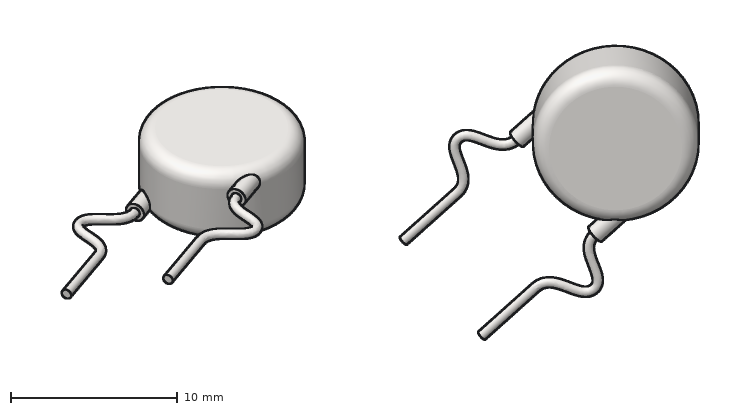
import cadquery as cq

disc_diameter = 10.0
disc_height = 5.0
rim_fillet = 1.0
disc_radius = disc_diameter / 2

sleeve_diameter = 1.2
lead_offset_x = 3.4
lead_offset_z = 1.58
sleeve_end_y = -disc_radius
sleeve_root_y = -2.34

wire_diameter = 0.65
overall_width = 12.45
overall_length = 19.5
lead_root_y = -2.92
kink_height = disc_radius / 2
kink_root_pull = 1.6
kink_apex_pull = 1.17
kink_reach = overall_width / 2 - wire_diameter / 2 - lead_offset_x
kink_apex_y = sleeve_end_y - kink_height
kink_end_y = kink_apex_y - kink_height
lead_tip_y = disc_radius - overall_length


def rod_along_y(diameter, side, start_y, end_y):
    """Straight rod on the axis of the lead on the given side, from start_y toward -Y."""
    return (
        cq.Workplane("XZ", origin=(side * lead_offset_x, start_y, side * lead_offset_z))
        .circle(diameter / 2)
        .extrude(start_y - end_y)
    )


def make_lead(side):
    """Wire with one outward kink; side is +1 for the upper +X lead, -1 for the lower -X lead."""
    inner_x = side * lead_offset_x
    outer_x = side * (lead_offset_x + kink_reach)
    path = (
        cq.Workplane("XY", origin=(0, 0, side * lead_offset_z))
        .moveTo(inner_x, lead_root_y)
        .lineTo(inner_x, sleeve_end_y)
        .bezier(
            [
                (inner_x, sleeve_end_y),
                (inner_x, sleeve_end_y - kink_root_pull),
                (outer_x, kink_apex_y + kink_apex_pull),
                (outer_x, kink_apex_y),
            ]
        )
        .bezier(
            [
                (outer_x, kink_apex_y),
                (outer_x, kink_apex_y - kink_apex_pull),
                (inner_x, kink_end_y + kink_root_pull),
                (inner_x, kink_end_y),
            ]
        )
        .lineTo(inner_x, lead_tip_y)
    )
    wire_section = cq.Workplane("XZ", origin=(inner_x, lead_root_y, side * lead_offset_z))
    return wire_section.circle(wire_diameter / 2).sweep(path)


def make_coating():
    """Rounded disc with its two sleeves, bored to receive the leads."""
    coating = (
        cq.Workplane("XY", origin=(0, 0, -disc_height / 2))
        .circle(disc_radius)
        .extrude(disc_height)
        .faces("|Z")
        .edges()
        .fillet(rim_fillet)
    )
    for side in (-1, 1):
        coating = coating.union(rod_along_y(sleeve_diameter, side, sleeve_root_y, sleeve_end_y))
        coating = coating.cut(rod_along_y(wire_diameter, side, lead_root_y, sleeve_end_y))
    return coating


coating = make_coating()
leads = [make_lead(side) for side in (-1, 1)]

result = cq.Compound.makeCompound([coating.val(), *[lead.val() for lead in leads]])